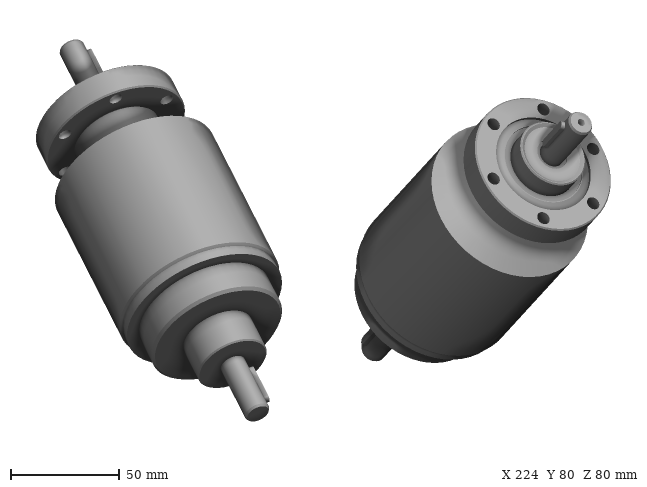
import cadquery as cq
import math

total_length = 224.0
left_boss_face = 30.0
flange_face = 40.5
flange_back = 54.0
collar_start = 67.0
cone_start = 68.0
body_start = 76.5
body_end = 154.0
band_start = 155.0
band_end = 160.0
cap_end = 175.8
right_boss_face = 193.8

shaft_radius = 6.0
left_boss_radius = 16.5
flange_radius = 34.7
neck_radius = 21.0
collar_radius = 21.5
body_diameter = 80.0
body_radius = body_diameter / 2
band_radius = 38.8
cap_radius = 32.7
right_boss_radius = 17.2

small_chamfer = 0.7
shaft_chamfer = 1.1
shaft_chamfer_depth = 0.7
cap_chamfer = 1.3

key_length = 20.5
key_width = 4.0
key_top = 7.8
key_tip_gap = 4.7

bolt_count = 6
bolt_hole_radius = 3.1
bolt_circle_radius = 29.3

groove_inner_radius = 20.2
groove_outer_radius = 24.2
groove_depth = 1.8

face_recess_radius = 19.7
face_recess_depth = 0.7

dish_rim_radius = 15.7
dish_floor_radius = 14.0
dish_depth = 1.1
relief_radius = 7.6
relief_depth = 0.7

centre_hole_radius = 1.8
drill_point_angle = 60.0


def revolve_about_x(points):
    """Solid of revolution about X from (x, radius) points."""
    return cq.Workplane("XY").polyline(points).close().revolve(360, (0, 0, 0), (1, 0, 0))


def turned_section(start, end, radius, start_break=(0, 0), end_break=(0, 0)):
    """Cylinder along X; each break is (axial length, radial depth) of an end chamfer."""
    points = [(start, 0), (start, radius - start_break[1])]
    if start_break[0]:
        points.append((start + start_break[0], radius))
    if end_break[0]:
        points.append((end - end_break[0], radius))
    points += [(end, radius - end_break[1]), (end, 0)]
    return revolve_about_x(points)


def key(start):
    """Round-ended key from the shaft axis up to its top face."""
    return (
        cq.Workplane("XZ")
        .center(start + key_length / 2, 0)
        .slot2D(key_length, key_width)
        .extrude(-key_top)
    )


even_break = (small_chamfer, small_chamfer)
shaft_break = (shaft_chamfer, shaft_chamfer_depth)

shaft = turned_section(0, total_length, shaft_radius, shaft_break, shaft_break)
left_boss = turned_section(left_boss_face, flange_back, left_boss_radius, even_break)
flange = turned_section(flange_face, flange_back, flange_radius, even_break, even_break)
neck = turned_section(flange_back, collar_start, neck_radius, even_break)
body = revolve_about_x(
    [
        (collar_start, 0),
        (collar_start, collar_radius),
        (cone_start, collar_radius),
        (body_start, body_radius),
        (body_end, body_radius),
        (band_start, band_radius),
        (band_start, 0),
    ]
)
band = turned_section(band_start, band_end, band_radius)
cap = turned_section(band_end, cap_end, cap_radius, end_break=(cap_chamfer, cap_chamfer))
right_boss = turned_section(cap_end, right_boss_face, right_boss_radius, end_break=even_break)

flange_groove = revolve_about_x(
    [
        (flange_face, groove_inner_radius),
        (flange_face, groove_outer_radius),
        (flange_face + groove_depth, groove_outer_radius),
    ]
)

face_recess = turned_section(flange_face, flange_face + face_recess_depth, face_recess_radius)

bolt_holes = (
    cq.Workplane("YZ", origin=(flange_face, 0, 0))
    .polarArray(bolt_circle_radius, 90, 360, bolt_count)
    .circle(bolt_hole_radius)
    .extrude(flange_back - flange_face)
)

dish_floor = left_boss_face + dish_depth
boss_dish = revolve_about_x(
    [
        (left_boss_face, 0),
        (left_boss_face, dish_rim_radius),
        (dish_floor, dish_floor_radius),
        (dish_floor, 0),
    ]
)
shaft_relief = turned_section(dish_floor, dish_floor + relief_depth, relief_radius)

centre_hole_depth = centre_hole_radius / math.tan(math.radians(drill_point_angle / 2))
centre_hole = revolve_about_x([(0, 0), (0, centre_hole_radius), (centre_hole_depth, 0)])

dished_boss = left_boss.cut(boss_dish).cut(shaft_relief)
drilled_flange = flange.cut(flange_groove).cut(face_recess).cut(bolt_holes)
housing = dished_boss.union(drilled_flange)
for section in (neck, body, band, cap, right_boss):
    housing = housing.union(section)

right_key_start = total_length - key_tip_gap - key_length
shaft_with_keys = shaft.union(key(key_tip_gap)).union(key(right_key_start)).cut(centre_hole)
result = housing.union(shaft_with_keys)